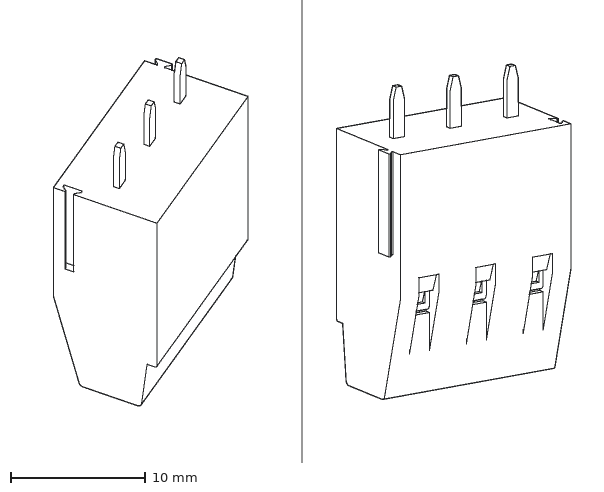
import cadquery as cq

pole_count = 3
pole_pitch = 5.077
body_width = 8.6
body_length = pole_count * pole_pitch
body_height = 19.5
total_height = 23.45
total_length = 15.83

slope_top = 8.3
slope_foot = 2.2
step_height = 4.62
step_inner = 7.79
foot_right = 7.3
foot_radius = 0.38
step_radius = 0.19

pin_center = 4.2
pin_offset = 0.05
pin_thickness = 0.5
pin_width = 1.0
pin_tip_width = 0.5
pin_taper_height = 1.0

dovetail_center = 1.34
dovetail_height = 7.97
key_reach = total_length - body_length
key_outer = 1.35
key_neck = 0.6
slot_neck = 0.7
slot_outer = 1.5
slot_depth = 0.6
dovetail_rim = 0.16
dovetail_neck_length = 0.12

pocket_width = 1.78
pocket_floor = 1.27
pocket_top = 9.73
roof_outer = 0.28
roof_inner = 0.8
roof_foot = slope_top
notch_width = 1.0
notch_bottom = 7.27
groove_top = 7.08
groove_bottom = 6.47
groove_depth = 0.47

outside = -0.23


def pole_positions():
    return [(index + 0.5) * pole_pitch for index in range(pole_count)]


def extrude_along_y(outline, start, length):
    """Extrude an XZ outline from y = start toward +Y."""
    return cq.Workplane("XZ", origin=(0, start, 0)).polyline(outline).close().extrude(-length)


def make_body():
    outline = [
        (0, body_height),
        (0, slope_top),
        (slope_foot, 0),
        (foot_right, 0),
        (step_inner, step_height),
        (body_width, step_height),
        (body_width, body_height),
    ]
    body = extrude_along_y(outline, 0, body_length)
    body = body.edges("<Z").edges("|Y").fillet(foot_radius)
    step_corner = cq.NearestToPointSelector((body_width, body_length / 2, step_height))
    return body.edges(step_corner).fillet(step_radius)


def make_dovetail(face_y, neck, outer, depth):
    """Upright dovetail that widens toward +Y from the plane y = face_y."""
    half_neck = neck / 2
    half_outer = outer / 2
    flare_start = face_y + dovetail_neck_length
    rim_start = face_y + depth - dovetail_rim
    end = face_y + depth
    outline = [
        (-half_neck, face_y),
        (-half_neck, flare_start),
        (-half_outer, rim_start),
        (-half_outer, end),
        (half_outer, end),
        (half_outer, rim_start),
        (half_neck, flare_start),
        (half_neck, face_y),
    ]
    bottom = body_height - dovetail_height
    plane = cq.Workplane("XY", origin=(dovetail_center, 0, bottom))
    return plane.polyline(outline).close().extrude(dovetail_height)


def make_pin(center_y):
    shoulder = total_height - pin_taper_height
    outline = [
        (center_y - pin_width / 2, body_height),
        (center_y + pin_width / 2, body_height),
        (center_y + pin_width / 2, shoulder),
        (center_y + pin_tip_width / 2, total_height),
        (center_y - pin_tip_width / 2, total_height),
        (center_y - pin_width / 2, shoulder),
    ]
    plane = cq.Workplane("YZ", origin=(pin_center - pin_thickness / 2, 0, 0))
    return plane.polyline(outline).close().extrude(pin_thickness)


def make_pocket(center_y):
    """Pocket with a sloping inner roof, a notch of the same slope, and a rounded groove."""
    roof_run = (roof_inner - roof_outer) / (pocket_top - roof_foot)
    pocket_outline = [
        (outside, pocket_top),
        (roof_outer, pocket_top),
        (roof_inner, roof_foot),
        (pocket_floor, roof_foot),
        (pocket_floor, 0),
        (outside, 0),
    ]
    notch_outline = [
        (pocket_floor, roof_foot),
        (pocket_floor + (roof_foot - notch_bottom) * roof_run, notch_bottom),
        (pocket_floor, notch_bottom),
    ]
    side_y = center_y - pocket_width / 2
    pocket = extrude_along_y(pocket_outline, side_y, pocket_width)
    notch = extrude_along_y(notch_outline, center_y - notch_width / 2, notch_width)
    groove = (
        cq.Workplane("XZ", origin=(pocket_floor, side_y, groove_bottom))
        .lineTo(0, groove_top - groove_bottom)
        .radiusArc((groove_depth, groove_top - groove_bottom - groove_depth), -groove_depth)
        .lineTo(groove_depth, 0)
        .close()
        .extrude(-pocket_width)
    )
    return pocket.union(notch).union(groove)


body = make_body()
body = body.union(make_dovetail(body_length, key_neck, key_outer, key_reach))
body = body.cut(make_dovetail(0, slot_neck, slot_outer, slot_depth))
for center_y in pole_positions():
    body = body.union(make_pin(center_y + pin_offset))
    body = body.cut(make_pocket(center_y))

result = body